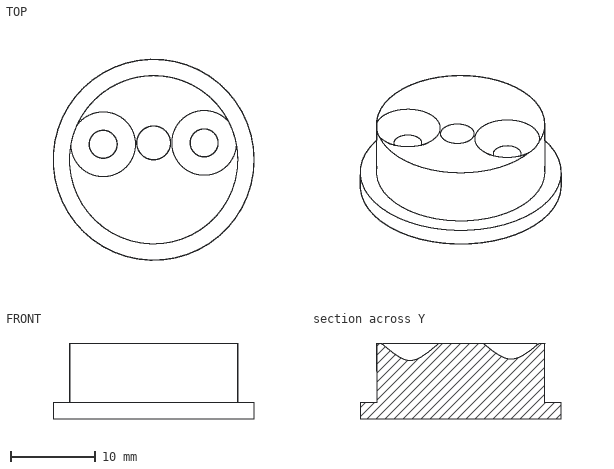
import cadquery as cq

flange_diameter = 23.9
flange_thickness = 2.0
boss_diameter = 20.0
total_height = 9.0

center_hole_diameter = 4.0
hole_row_y = 2.0

screw_hole_diameter = 3.3
countersink_diameter = 7.7
countersink_angle = 90.0
screw_offset_x = 6.0
left_screw_drop = 0.17
screw_positions = [
    (-screw_offset_x, hole_row_y - left_screw_drop),
    (screw_offset_x, hole_row_y),
]

flange = cq.Workplane("XY").circle(flange_diameter / 2).extrude(flange_thickness)
boss = cq.Workplane("XY").circle(boss_diameter / 2).extrude(total_height)
body = flange.union(boss)

top_plane = cq.Workplane("XY", origin=(0, 0, total_height))
center_hole = (
    top_plane.center(0, hole_row_y)
    .circle(center_hole_diameter / 2)
    .extrude(-total_height)
)
body = body.cut(center_hole)

result = (
    body.faces(">Z")
    .workplane(origin=(0, 0, total_height))
    .pushPoints(screw_positions)
    .cskHole(screw_hole_diameter, countersink_diameter, countersink_angle)
)